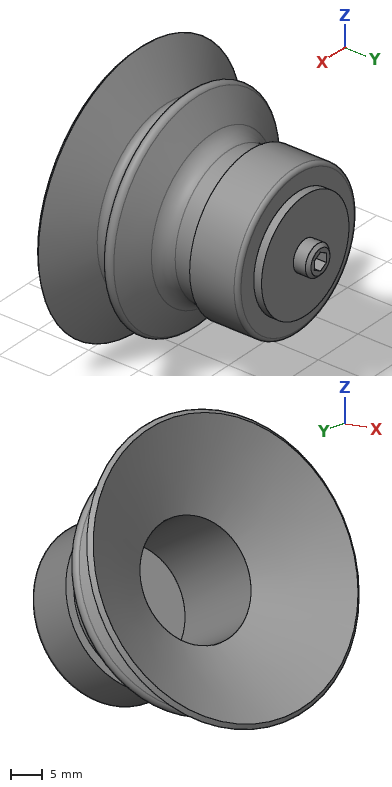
import cadquery as cq
import math

lip_radius = 25.75
lip_edge_radius = 25.0
lip_bevel_length = 0.7
flank_angle = math.radians(30)
valley_radius = 16.5
valley_round = 1.3
crest_radius = 21.4
crest_round = 1.1

neck_radius = 27.0 / 2
neck_round = 3.75
collar_radius = 30.0 / 2
collar_start = 22.4
collar_end = 32.0
collar_edge_round = 0.75
plate_radius = 22.0 / 2
plate_end = 33.55
pin_radius = 6.0 / 2
pin_end = 36.6
pin_chamfer = 0.6

bore_radius = 21.0 / 2
bore_end = 26.75
hex_across_flats = 3.0


def flank_rise(start_radius, end_radius):
    """Length along Y of a conical wall between two radii."""
    return abs(start_radius - end_radius) * math.tan(flank_angle)


def round_half_length(radius):
    """Length along Y from the middle of a round to its tangent flank."""
    return radius * math.cos(flank_angle)


def round_depth(radius):
    """Radial distance from the middle of a round to its tangent flank."""
    return radius * (1 - math.sin(flank_angle))


def make_bellows():
    """Lip, fold and neck as a solid of revolution."""
    valley_flank = valley_radius + round_depth(valley_round)
    crest_flank = crest_radius - round_depth(crest_round)
    neck_flank = neck_radius + round_depth(neck_round)

    valley_start = lip_bevel_length + flank_rise(lip_radius, valley_flank)
    valley_middle = valley_start + round_half_length(valley_round)
    valley_end = valley_middle + round_half_length(valley_round)
    crest_start = valley_end + flank_rise(valley_flank, crest_flank)
    crest_middle = crest_start + round_half_length(crest_round)
    crest_end = crest_middle + round_half_length(crest_round)
    neck_flank_end = crest_end + flank_rise(crest_flank, neck_flank)
    neck_start = neck_flank_end + round_half_length(neck_round)

    half_turn = (math.pi / 2 - flank_angle) / 2
    neck_mid_radius = neck_radius + neck_round * (1 - math.cos(half_turn))
    neck_mid = neck_start - neck_round * math.sin(half_turn)

    return (
        cq.Workplane("XY")
        .moveTo(0, 0)
        .lineTo(lip_edge_radius, 0)
        .lineTo(lip_radius, lip_bevel_length)
        .lineTo(valley_flank, valley_start)
        .threePointArc((valley_radius, valley_middle), (valley_flank, valley_end))
        .lineTo(crest_flank, crest_start)
        .threePointArc((crest_radius, crest_middle), (crest_flank, crest_end))
        .lineTo(neck_flank, neck_flank_end)
        .threePointArc((neck_mid_radius, neck_mid), (neck_radius, neck_start))
        .lineTo(neck_radius, collar_start)
        .lineTo(0, collar_start)
        .close()
        .revolve(360, (0, 0, 0), (0, 1, 0))
    )


def disc(radius, start, end):
    """Cylinder about Y between two stations."""
    return cq.Workplane("XZ", origin=(0, start, 0)).circle(radius).extrude(start - end)


def make_hollow():
    """Conical mouth running into a straight blind bore."""
    cone_end = flank_rise(lip_edge_radius, bore_radius)
    return (
        cq.Workplane("XY")
        .polyline([
            (0, 0),
            (lip_edge_radius, 0),
            (bore_radius, cone_end),
            (bore_radius, bore_end),
            (0, bore_end),
        ])
        .close()
        .revolve(360, (0, 0, 0), (0, 1, 0))
    )


def make_hex_passage():
    """Hexagonal through passage with two corners on the Z axis."""
    across_corners = hex_across_flats / math.cos(math.pi / 6)
    return (
        cq.Workplane("XZ")
        .transformed(rotate=(0, 0, 90))
        .polygon(6, across_corners)
        .extrude(-pin_end)
    )


collar = disc(collar_radius, collar_start, collar_end).faces(">Y").edges().fillet(collar_edge_round)
plate = disc(plate_radius, collar_end, plate_end)
pin = disc(pin_radius, plate_end, pin_end).faces(">Y").edges().chamfer(pin_chamfer)

body = make_bellows().union(collar).union(plate).union(pin)
result = body.cut(make_hollow()).cut(make_hex_passage())